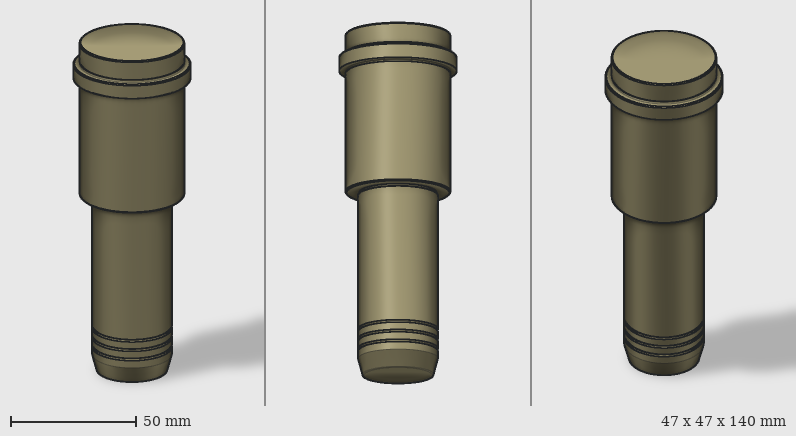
import cadquery as cq
import math

head_diameter = 42.0
flange_diameter = 47.0
shank_diameter = 32.0

total_length = 140.0
flange_depth = 9.0
flange_thickness = 6.0
head_length = 65.0
nose_length = 7.0

flange_top = total_length - flange_depth
flange_bottom = flange_top - flange_thickness
shoulder = total_length - head_length

edge_break = 0.5
undercut_width = 1.0
shank_undercut_depth = 0.5
groove_width = 1.0
groove_count = 3
groove_pitch = 4.0
first_groove_bottom = 10.0

nose_taper_angle = 15.0
tip_rounding = 0.5


def cylinder(diameter, bottom, top):
    """Cylinder on the Z axis between two heights."""
    return cq.Workplane("XY").workplane(offset=bottom).circle(diameter / 2).extrude(top - bottom)


def ring_groove(diameter, depth, bottom, width):
    """Ring to cut away from a cylinder of the given diameter."""
    outer = cylinder(diameter + 2 * depth, bottom, bottom + width)
    return outer.cut(cylinder(diameter - 2 * depth, bottom, bottom + width))


def round_groove(diameter, bottom, width):
    """Half-round ring to cut away from a cylinder, as deep as half its width."""
    section_radius = width / 2
    return cq.Workplane("XY").add(
        cq.Solid.makeTorus(diameter / 2, section_radius, cq.Vector(0, 0, bottom + section_radius))
    )


def make_shank():
    """Guide shank up to the shoulder, with the tapered nose at its lower end."""
    nose_inset = nose_length * math.tan(math.radians(nose_taper_angle))
    tip_radius = shank_diameter / 2 - nose_inset
    shank = (
        cq.Workplane("XZ")
        .lineTo(tip_radius, 0)
        .lineTo(shank_diameter / 2, nose_length)
        .lineTo(shank_diameter / 2, shoulder)
        .lineTo(0, shoulder)
        .close()
        .revolve(360, (0, 0), (0, 1))
        .faces("<Z").edges().fillet(tip_rounding)
    )
    for index in range(groove_count):
        bottom = first_groove_bottom + index * groove_pitch
        shank = shank.cut(round_groove(shank_diameter, bottom, groove_width))
    undercut_bottom = shoulder - undercut_width
    return shank.cut(ring_groove(shank_diameter, shank_undercut_depth, undercut_bottom, undercut_width))


def make_head():
    """Thick fitting length with broken end edges and undercuts beside the flange."""
    head = cylinder(head_diameter, shoulder, total_length).faces("<Z or >Z").edges().chamfer(edge_break)
    for bottom in (flange_top, flange_bottom - undercut_width):
        head = head.cut(round_groove(head_diameter, bottom, undercut_width))
    return head


def make_flange():
    """Locating collar with its upper edge broken."""
    return cylinder(flange_diameter, flange_bottom, flange_top).faces(">Z").edges().chamfer(edge_break)


result = make_head().union(make_flange()).union(make_shank())